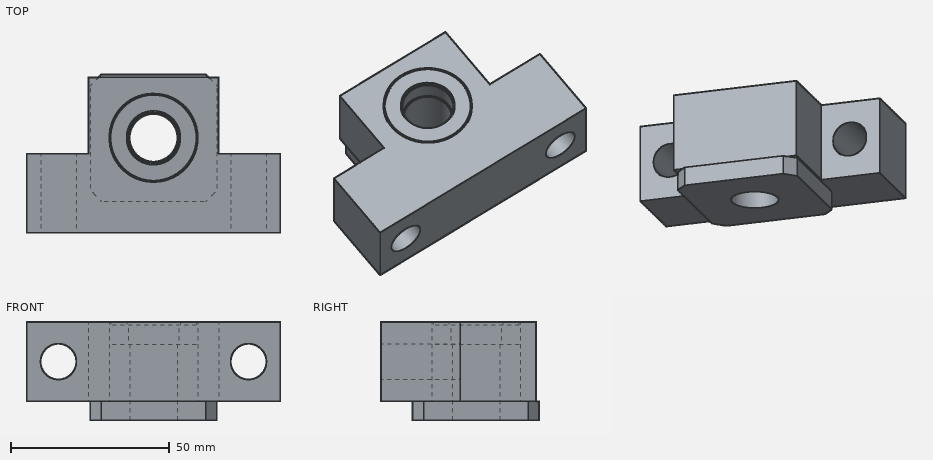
import cadquery as cq

housing_length = 80
housing_height = 25.0
foot_depth = 25.0
neck_width = 41.0
housing_depth = 49.0
axis_to_foot_face = 30.0
housing_bore_diameter = 28

mounting_hole_diameter = 11.2
mounting_hole_spacing = 60

lid_width = 40
lid_thickness = 6.0
lid_corner_chamfer = 3.5

seal_outer_diameter = 27.0
seal_bore_diameter = 17.0
seal_thickness = 1.0
collar_bore_diameter = 16
collar_thickness = 6.0
shaft_bore_diameter = 15.0
bearing_thickness = housing_height - seal_thickness - collar_thickness

bearing_top = bearing_thickness
collar_top = bearing_top + collar_thickness


def make_ring(outer_diameter, inner_diameter, thickness, bottom):
    """A plain ring on the shaft axis."""
    return (
        cq.Workplane("XY")
        .workplane(offset=bottom)
        .circle(outer_diameter / 2)
        .circle(inner_diameter / 2)
        .extrude(thickness)
    )


def make_housing():
    """A wide foot and a narrower neck, with a stepless bore and two mounting holes."""
    foot_face = -axis_to_foot_face
    foot = cq.Workplane("XY").box(housing_length, foot_depth, housing_height, centered=(True, False, False))
    neck = cq.Workplane("XY").box(neck_width, housing_depth, housing_height, centered=(True, False, False))
    block = foot.union(neck).translate((0, foot_face, 0))

    bore = cq.Workplane("XY").circle(housing_bore_diameter / 2).extrude(housing_height)
    mounting_holes = (
        cq.Workplane("XZ", origin=(0, foot_face, housing_height / 2))
        .pushPoints([(-mounting_hole_spacing / 2, 0), (mounting_hole_spacing / 2, 0)])
        .circle(mounting_hole_diameter / 2)
        .extrude(-foot_depth)
    )
    return block.cut(bore).cut(mounting_holes)


def make_lid():
    """A square plate with chamfered corners that closes the bore around the shaft."""
    plate = (
        cq.Workplane("XY")
        .workplane(offset=-lid_thickness)
        .rect(lid_width, lid_width)
        .extrude(lid_thickness)
        .edges("|Z")
        .chamfer(lid_corner_chamfer)
    )
    return plate.faces(">Z").workplane().hole(shaft_bore_diameter)


housing = make_housing()
lid = make_lid()
bearing = make_ring(housing_bore_diameter, shaft_bore_diameter, bearing_thickness, 0)
collar = make_ring(housing_bore_diameter, collar_bore_diameter, collar_thickness, bearing_top)
seal = make_ring(seal_outer_diameter, seal_bore_diameter, seal_thickness, collar_top)

result = cq.Compound.makeCompound(
    [housing.val(), lid.val(), bearing.val(), collar.val(), seal.val()]
)